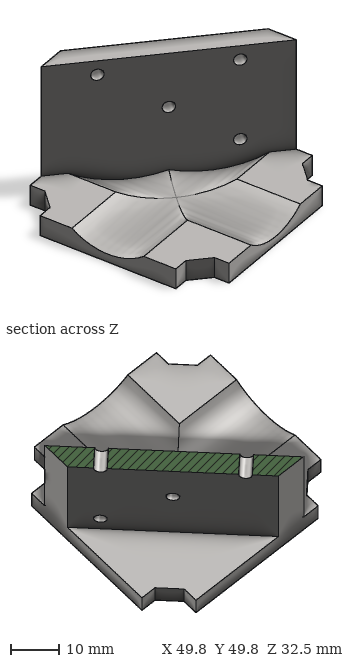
import cadquery as cq
import math

PLATE_SIDE = 49.8
PLATE_THICKNESS = 5.0
NOTCH_SIZE = 7.9
NOTCH_CHAMFER = 4.25

TOTAL_HEIGHT = 32.5
WALL_THICKNESS = 5.0
WALL_FRONT_REACH = 37.9

GROOVE_WIDTH = 18.0
GROOVE_DEPTH = 3.0

HOLE_DIAMETER = 2.8
HOLE_SPACING_ALONG = 30.0
HOLE_SPACING_UP = 20.0
HOLE_CENTER_HEIGHT = 19.0

half_side = PLATE_SIDE / 2
wall_back_reach = WALL_FRONT_REACH - WALL_THICKNESS * math.sqrt(2)
groove_radius = ((GROOVE_WIDTH / 2) ** 2 + GROOVE_DEPTH**2) / (2 * GROOVE_DEPTH)
groove_axis_height = PLATE_THICKNESS - GROOVE_DEPTH + groove_radius


def corner_notch(x_sign, y_sign):
    """Cutter for one plate corner: a square with its inner corner chamfered."""
    outer = half_side
    inner = half_side - NOTCH_SIZE
    chamfer_end = inner + NOTCH_CHAMFER
    outline = [
        (outer, outer),
        (inner, outer),
        (inner, chamfer_end),
        (chamfer_end, inner),
        (outer, inner),
    ]
    points = [(x_sign * x, y_sign * y) for x, y in outline]
    return cq.Workplane("XY").polyline(points).close().extrude(PLATE_THICKNESS)


def corner_triangle(reach, height):
    """Triangular prism filling the -X +Y corner, with legs of the given reach."""
    points = [
        (-half_side, half_side),
        (-half_side, half_side - reach),
        (-half_side + reach, half_side),
    ]
    return cq.Workplane("XY").polyline(points).close().extrude(height)


def plate():
    body = cq.Workplane("XY").rect(PLATE_SIDE, PLATE_SIDE).extrude(PLATE_THICKNESS)
    for x_sign in (-1, 1):
        for y_sign in (-1, 1):
            body = body.cut(corner_notch(x_sign, y_sign))
    return body


def grooves():
    """Grooves along X and Y, both ending at the front face of the wall."""
    cutter = cq.Workplane("XY")
    for plane in ("YZ", "XZ"):
        cylinder = (
            cq.Workplane(plane)
            .center(0, groove_axis_height)
            .circle(groove_radius)
            .extrude(half_side, both=True)
        )
        cutter = cutter.add(cylinder)
    cutter = cutter.combine()
    return cutter.cut(corner_triangle(WALL_FRONT_REACH, TOTAL_HEIGHT))


def wall():
    front = corner_triangle(WALL_FRONT_REACH, TOTAL_HEIGHT)
    behind = corner_triangle(wall_back_reach, TOTAL_HEIGHT)
    return front.cut(behind)


def wall_holes():
    """Centre hole and three corner holes, square to the wall; the lower -X corner has none."""
    front_middle_x = -half_side + WALL_FRONT_REACH / 2
    front_face = cq.Plane(
        origin=(front_middle_x, -front_middle_x, HOLE_CENTER_HEIGHT),
        xDir=(1, 1, 0),
        normal=(1, -1, 0),
    )
    along = HOLE_SPACING_ALONG / 2
    up = HOLE_SPACING_UP / 2
    positions = [(0, 0), (-along, up), (along, up), (along, -up)]
    return (
        cq.Workplane(front_face)
        .pushPoints(positions)
        .circle(HOLE_DIAMETER / 2)
        .extrude(-WALL_THICKNESS)
    )


result = plate().cut(grooves()).union(wall()).cut(wall_holes())